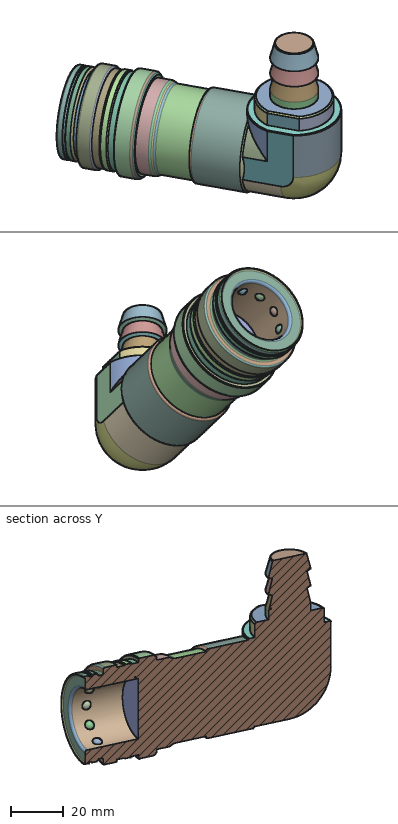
import cadquery as cq
import math


TOTAL_LENGTH = 106.4
TOTAL_HEIGHT = 69.8

NOSE_RADIUS = 18.2
LIP_WIDTH = 1.1
LIP_ROUND = LIP_WIDTH / 2
NOSE_GROOVE_RADIUS = 17.7
NOSE_GROOVE_START = 2.5
NOSE_GROOVE_END = 3.4
NOSE_END = 5.6
NOSE_EDGE = 0.3
NECK_RADIUS = 17.2
NECK_START = 6.6
NECK_FILLET = 0.6

BORE_RADIUS = 12.3
BORE_DEPTH = 23.4
BORE_ROUND = 1.1
BALL_COUNT = 10
BALL_RADIUS = 2.0
BALL_PROTRUSION = 1.3
BALL_X = 8.0

FRONT_RING_RADIUS = 20.1
FRONT_RING_START = 8.4
FRONT_RING_END = 14.5
FRONT_RING_ROUND = 0.6

SLEEVE_RADIUS = 19.2
BAND_RADIUS = 19.5
BAND_START = 17.3
BAND_END = 20.9
BAND_BEVEL = 0.6

GRIP_DIAMETER = 41.6
GRIP_RADIUS = GRIP_DIAMETER / 2
GRIP_START = 23.5
GRIP_END = 31.5
GRIP_ROUND_START = 29.9
GRIP_BEVEL_START = 30.9
GRIP_BEVEL_START_RADIUS = 20.3
GRIP_REAR_RADIUS = 19.6
GRIP_EDGE = 0.3

SHOULDER_RADIUS = 18.5
SHOULDER_ROUND_START = 36.6
SHOULDER_END = 37.6
SHOULDER_END_RADIUS = 18.2
COVE_START = 38.2
COVE_START_RADIUS = 17.9
COVE_END = 39.2
BARREL_RADIUS = 17.6

COLLAR_RADIUS = 18.5
COLLAR_START = 52.6
COLLAR_BEVEL_START = 72.9
COLLAR_ROUND = COLLAR_RADIUS - BARREL_RADIUS

ELBOW_RADIUS = 17.9
ELBOW_HALF_WIDTH = 17.1
ELBOW_X = TOTAL_LENGTH - ELBOW_RADIUS
ELBOW_TOP = 19.0
COLLAR_END = COLLAR_BEVEL_START + COLLAR_RADIUS - ELBOW_HALF_WIDTH
ELBOW_TOP_BEVEL = 0.3

NUT_RADIUS = 15.0
NUT_HALF_WIDTH = 13.6
NUT_TOP = 25.1
NUT_BEVEL = 0.6

TAIL_TOP = TOTAL_HEIGHT - GRIP_RADIUS
TAIL_RADIUS = 9.2
TAIL_NECK_RADIUS = 7.6
TAIL_BASE_TOP = 28.3
TAIL_TIP_RADIUS = 7.5
TAIL_TIP_BEVEL = 0.3
FIRST_BARB_BOTTOM = 35.2
BARB_PITCH = 6.9
BARB_COUNT = 2
BARB_LIP = 0.3
BARB_UNDERCUT = 0.6


def quarter_round(profile, start, end, convex=True):
    """Add a quarter-round to a turned profile that has reached `start`.

    The ends lie equally far apart along the axis and across it.  A convex
    round bulges away from the axis, a concave one hollows towards it.
    """
    (x1, r1), (x2, r2) = start, end
    inner_is_start = r1 < r2
    if convex == inner_is_start:
        centre = (x2, r1)
    else:
        centre = (x1, r2)
    reach = math.sqrt(0.5)
    middle_x = centre[0] + reach * (x1 + x2 - 2 * centre[0])
    middle_r = centre[1] + reach * (r1 + r2 - 2 * centre[1])
    return profile.threePointArc((middle_x, middle_r), end)


def make_socket():
    """Solid of revolution from the socket mouth to the rear of the collar."""
    p = cq.Workplane("XY")
    lip_crest = NOSE_RADIUS - LIP_ROUND
    lip_inner = NOSE_RADIUS - LIP_WIDTH
    p = p.moveTo(LIP_ROUND, 0).lineTo(LIP_ROUND, lip_inner)

    p = quarter_round(p, (LIP_ROUND, lip_inner), (0, lip_crest))
    p = quarter_round(p, (0, lip_crest), (LIP_ROUND, NOSE_RADIUS))
    p = p.lineTo(NOSE_GROOVE_START, NOSE_RADIUS)
    p = p.lineTo(NOSE_GROOVE_START, NOSE_GROOVE_RADIUS)
    p = p.lineTo(NOSE_GROOVE_END, NOSE_GROOVE_RADIUS)
    p = p.lineTo(NOSE_GROOVE_END, NOSE_RADIUS - NOSE_EDGE)
    p = p.lineTo(NOSE_GROOVE_END + NOSE_EDGE, NOSE_RADIUS)
    p = p.lineTo(NOSE_END, NOSE_RADIUS)
    p = p.lineTo(NECK_START, NECK_RADIUS)
    fillet_start = (FRONT_RING_START - NECK_FILLET, NECK_RADIUS)
    fillet_end = (FRONT_RING_START, NECK_RADIUS + NECK_FILLET)
    p = p.lineTo(*fillet_start)
    p = quarter_round(p, fillet_start, fillet_end, convex=False)

    side = FRONT_RING_RADIUS - FRONT_RING_ROUND
    top_start = FRONT_RING_START + FRONT_RING_ROUND
    top_end = FRONT_RING_END - FRONT_RING_ROUND
    p = p.lineTo(FRONT_RING_START, side)
    p = quarter_round(p, (FRONT_RING_START, side), (top_start, FRONT_RING_RADIUS))
    p = p.lineTo(top_end, FRONT_RING_RADIUS)
    p = quarter_round(p, (top_end, FRONT_RING_RADIUS), (FRONT_RING_END, side))
    p = p.lineTo(FRONT_RING_END, SLEEVE_RADIUS)

    p = p.lineTo(BAND_START, SLEEVE_RADIUS)
    p = p.lineTo(BAND_START + BAND_BEVEL, BAND_RADIUS)
    p = p.lineTo(BAND_END - BAND_BEVEL, BAND_RADIUS)
    p = p.lineTo(BAND_END, SLEEVE_RADIUS)
    p = p.lineTo(GRIP_START, SLEEVE_RADIUS)

    p = p.lineTo(GRIP_START, GRIP_RADIUS - GRIP_EDGE)
    p = p.lineTo(GRIP_START + GRIP_EDGE, GRIP_RADIUS)
    p = p.lineTo(GRIP_ROUND_START, GRIP_RADIUS)
    p = p.tangentArcPoint((GRIP_BEVEL_START, GRIP_BEVEL_START_RADIUS), relative=False)
    p = p.lineTo(GRIP_END, GRIP_REAR_RADIUS)
    p = p.lineTo(GRIP_END, SHOULDER_RADIUS)

    p = p.lineTo(SHOULDER_ROUND_START, SHOULDER_RADIUS)
    p = p.tangentArcPoint((SHOULDER_END, SHOULDER_END_RADIUS), relative=False)
    p = p.lineTo(COVE_START, COVE_START_RADIUS)
    p = p.tangentArcPoint((COVE_END, BARREL_RADIUS), relative=False)

    round_start = (COLLAR_START, BARREL_RADIUS)
    round_end = (COLLAR_START + COLLAR_ROUND, COLLAR_RADIUS)
    p = p.lineTo(*round_start)
    p = quarter_round(p, round_start, round_end)
    p = p.lineTo(COLLAR_BEVEL_START, COLLAR_RADIUS)
    p = p.lineTo(COLLAR_END, ELBOW_HALF_WIDTH)
    p = p.lineTo(COLLAR_END, 0).close()
    return p.revolve(360, (0, 0, 0), (1, 0, 0))


def make_elbow():
    """Two legs and a ball, cut to flats at the sides."""
    level_leg = (
        cq.Workplane("YZ", origin=(COLLAR_BEVEL_START, 0, 0))
        .circle(ELBOW_RADIUS)
        .extrude(ELBOW_X - COLLAR_BEVEL_START)
    )
    upright_leg = (
        cq.Workplane("XY", origin=(ELBOW_X, 0, 0))
        .circle(ELBOW_RADIUS)
        .extrude(ELBOW_TOP)
    )
    ball = cq.Workplane("XY", origin=(ELBOW_X, 0, 0)).sphere(ELBOW_RADIUS)
    flats = cq.Workplane("XY", origin=(ELBOW_X, 0, 0)).box(
        TOTAL_LENGTH, 2 * ELBOW_HALF_WIDTH, TOTAL_LENGTH
    )
    upright_leg = upright_leg.intersect(flats).faces(">Z").chamfer(ELBOW_TOP_BEVEL)
    return level_leg.union(ball).intersect(flats).union(upright_leg)


def make_nut():
    """Round nut with a pair of wrench flats and a bevelled top."""
    flats = cq.Workplane("XY").box(TOTAL_LENGTH, 2 * NUT_HALF_WIDTH, TOTAL_LENGTH)
    nut = (
        cq.Workplane("XY", origin=(0, 0, ELBOW_TOP))
        .circle(NUT_RADIUS)
        .extrude(NUT_TOP - ELBOW_TOP)
    )
    return nut.intersect(flats).faces(">Z").chamfer(NUT_BEVEL).translate((ELBOW_X, 0, 0))


def make_hose_tail():
    """Turned tail with a plain base and tapered barbs."""
    p = cq.Workplane("XZ").moveTo(0, NUT_TOP).lineTo(TAIL_RADIUS, NUT_TOP)
    p = p.lineTo(TAIL_RADIUS, TAIL_BASE_TOP)
    for index in range(BARB_COUNT):
        bottom = FIRST_BARB_BOTTOM + index * BARB_PITCH
        p = p.lineTo(TAIL_NECK_RADIUS, bottom - BARB_UNDERCUT)
        p = p.lineTo(TAIL_RADIUS, bottom)
        p = p.lineTo(TAIL_RADIUS, bottom + BARB_LIP)
    p = p.lineTo(TAIL_TIP_RADIUS, TAIL_TOP - TAIL_TIP_BEVEL)
    p = p.lineTo(TAIL_TIP_RADIUS - TAIL_TIP_BEVEL, TAIL_TOP)
    p = p.lineTo(0, TAIL_TOP).close()
    return p.revolve(360, (0, 0, 0), (0, 1, 0)).translate((ELBOW_X, 0, 0))


def make_bore():
    """Blind bore with a rounded mouth, as a cutting tool."""
    mouth = (LIP_ROUND, BORE_RADIUS + BORE_ROUND)
    round_end = (LIP_ROUND + BORE_ROUND, BORE_RADIUS)
    p = cq.Workplane("XY").moveTo(LIP_ROUND, 0).lineTo(*mouth)
    p = quarter_round(p, mouth, round_end, convex=False)
    p = p.lineTo(BORE_DEPTH, BORE_RADIUS).lineTo(BORE_DEPTH, 0).close()
    return p.revolve(360, (0, 0, 0), (1, 0, 0))


def make_locking_balls():
    """Ring of balls set into the bore wall, the first one on the +Y side."""
    centre_radius = BORE_RADIUS - BALL_PROTRUSION + BALL_RADIUS
    balls = cq.Workplane("XY")
    for index in range(BALL_COUNT):
        angle = 2 * math.pi * index / BALL_COUNT
        centre = (BALL_X, centre_radius * math.cos(angle), centre_radius * math.sin(angle))
        balls = balls.add(cq.Workplane("XY").sphere(BALL_RADIUS).translate(centre))
    return balls.combine()


body = make_socket().union(make_elbow()).union(make_nut()).union(make_hose_tail())
result = body.cut(make_bore()).union(make_locking_balls())